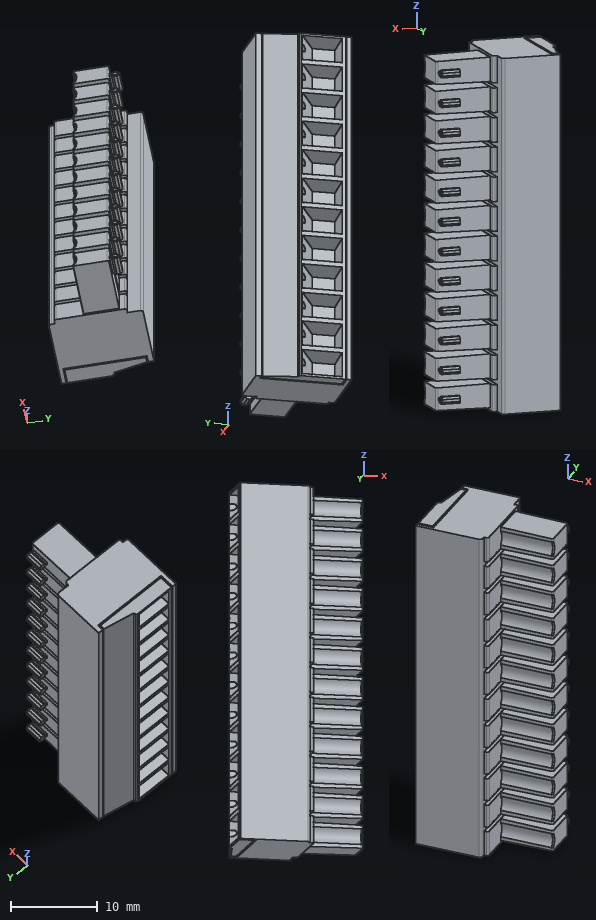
import cadquery as cq
import math

total_x = 15.5
total_y = 11.1
length = 42.0
poles = 12
pitch = length / poles

shoulder_x = 8.3
plate_x = 8.85
plate_y_min = 0.7
plate_y_max = 9.3
shoulder_radius = 0.35
plate_radius = 0.25
ledge_x = 1.18
slope_top_y = 10.35
slope_foot = (0.4, 6.3)
nose_y = 6.0
nose_corner = (0.13, 6.2)

seam_width = 0.13
seam_depth = 0.1
seam_x = 1.85
seam_y_min = 0.65
seam_y_max = 10.35

funnel_depth = 2.75
funnel_y_min = 1.15
funnel_y_max = 5.85
funnel_width = 2.95
floor_y_min = 1.35
floor_y_max = 4.05
floor_width = 1.9
recess_radius = 0.38
recess_straight = 0.13
recess_depth = 2.1

finger_y_min = 4.2
finger_y_max = 8.4
finger_root_width = 2.9
finger_tip_width = 2.7
finger_edge_radius = 0.2
groove_diameter = 2.8
groove_flare_diameter = 3.0
groove_width = 1.85
flare_length = finger_edge_radius

key_x_start = 12.9
key_x_end = 15.2
key_height = 1.18
key_head_width = 0.85
key_neck_width = 0.35
key_neck_height = 0.25
key_head_flat_low = 0.5
key_head_flat_high = 0.9
key_tip_chamfer = 0.13
bevel_angle = 45


def box(x_min, x_max, y_min, y_max, z_min, z_max):
    """Box given by its limits along each axis."""
    size = (x_max - x_min, y_max - y_min, z_max - z_min)
    return cq.Workplane("XY").box(*size, centered=False).translate((x_min, y_min, z_min))


def make_housing():
    """Full-length body with its sloped wire side and the raised plate on the plug side."""
    body = (
        cq.Workplane("XY")
        .polyline([
            (0, 0),
            (shoulder_x, 0),
            (shoulder_x, total_y),
            (ledge_x, total_y),
            (ledge_x, slope_top_y),
            slope_foot,
            nose_corner,
            (0, nose_y),
        ])
        .close()
        .extrude(length)
        .edges("|Z and >X")
        .fillet(shoulder_radius)
    )
    plate = (
        box(ledge_x, plate_x, plate_y_min, plate_y_max, 0, length)
        .edges("|Z and >X")
        .fillet(plate_radius)
    )
    return body.union(plate)


def make_plate_gap():
    """Gap that splits the plate between two neighbouring fingers."""
    half = (pitch - finger_root_width) / 2
    return box(shoulder_x, plate_x, plate_y_min, plate_y_max, -half, half)


def make_seam():
    """Shallow groove that outlines the insert on both ends and on the wire side."""
    half = seam_width / 2
    outer = box(0, seam_x + seam_width, seam_y_min - half, seam_y_max + half, 0, length)
    inner = box(0, seam_x, seam_y_min + half, seam_y_max - half, 0, length)
    frame = outer.cut(inner)
    bottom_end = frame.intersect(box(0, total_x, 0, total_y, 0, seam_depth))
    top_end = frame.intersect(box(0, total_x, 0, total_y, length - seam_depth, length))
    front_low = frame.intersect(box(0, seam_depth, 0, nose_y, 0, length))
    front_high = frame.intersect(box(0, ledge_x + seam_depth, nose_y, total_y, 0, length))
    return bottom_end.union(top_end).union(front_low).union(front_high)


def make_wire_entry():
    """Tapered funnel with a round-ended screw recess along its sloped wall."""
    mouth_y = (funnel_y_min + funnel_y_max) / 2
    floor_y = (floor_y_min + floor_y_max) / 2
    funnel = (
        cq.Workplane("YZ", origin=(0, mouth_y, 0))
        .rect(funnel_y_max - funnel_y_min, funnel_width)
        .workplane(offset=funnel_depth)
        .center(floor_y - mouth_y, 0)
        .rect(floor_y_max - floor_y_min, floor_width)
        .loft(ruled=True)
    )
    recess = (
        cq.Workplane("YZ", origin=(0, funnel_y_max, 0))
        .moveTo(0, -recess_radius)
        .lineTo(-recess_straight, -recess_radius)
        .threePointArc((-recess_straight - recess_radius, 0), (-recess_straight, recess_radius))
        .lineTo(0, recess_radius)
        .close()
        .extrude(recess_depth)
    )
    return funnel.union(recess)


def make_finger():
    """Tapered contact finger with a round groove along its -Y face."""
    root = finger_root_width / 2
    tip = finger_tip_width / 2
    outline = (
        cq.Workplane("XZ", origin=(0, finger_y_max, 0))
        .polyline([
            (shoulder_x, -root),
            (total_x, -tip),
            (total_x, tip),
            (shoulder_x, root),
        ])
        .close()
        .extrude(finger_y_max - finger_y_min)
        .edges("|Z and >X")
        .fillet(finger_edge_radius)
    )
    radius = groove_diameter / 2
    axis_y = finger_y_min - math.sqrt(radius ** 2 - (groove_width / 2) ** 2)
    groove = (
        cq.Workplane("YZ", origin=(plate_x, axis_y, 0))
        .circle(radius)
        .extrude(total_x - plate_x)
    )
    flare = (
        cq.Workplane("YZ", origin=(total_x - flare_length, axis_y, 0))
        .circle(radius)
        .workplane(offset=flare_length)
        .circle(groove_flare_diameter / 2)
        .loft()
    )
    return outline.cut(groove).cut(flare)


def make_key():
    """Coding key with a chamfered head on a narrower neck."""
    neck = key_neck_width / 2
    head = key_head_width / 2
    root_depth = -key_tip_chamfer
    right_side = [
        (root_depth, neck),
        (key_neck_height, neck),
        (key_head_flat_low, head),
        (key_head_flat_high, head),
        (key_height, neck),
    ]
    left_side = [(y, -half_width) for y, half_width in reversed(right_side)]
    bevel_x = key_x_end - key_tip_chamfer

    def outline_at(x):
        plane = cq.Workplane("YZ", origin=(x, finger_y_max, 0))
        return plane.polyline(right_side + left_side).close()

    bar = outline_at(key_x_start).extrude(bevel_x - key_x_start)
    tip = outline_at(bevel_x).extrude(key_tip_chamfer, taper=bevel_angle)
    return bar.union(tip)


def repeat_along_z(shape, positions):
    """Copies of a shape moved to each Z position, gathered in one compound."""
    copies = [shape.translate((0, 0, z)).val() for z in positions]
    return cq.Workplane(cq.Compound.makeCompound(copies))


gap_positions = [gap * pitch for gap in range(1, poles)]
pole_positions = [(pole + 0.5) * pitch for pole in range(poles)]
result = (
    make_housing()
    .cut(make_seam())
    .cut(repeat_along_z(make_plate_gap(), gap_positions))
    .cut(repeat_along_z(make_wire_entry(), pole_positions))
    .union(repeat_along_z(make_finger().union(make_key()), pole_positions))
)